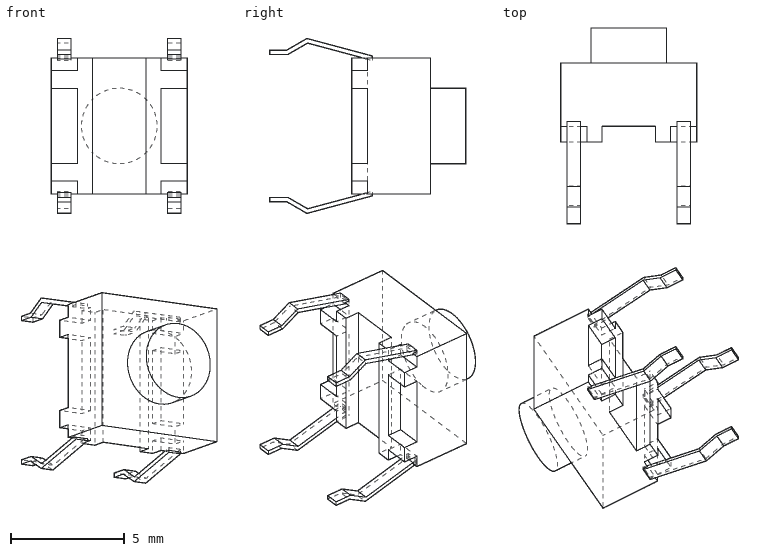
import cadquery as cq
import math

overall_depth = 8.63
overall_height = 7.71

housing_side = 6.0
housing_depth = 3.48
half_side = housing_side / 2

button_diameter = 3.33
button_height = 1.545

recess_depth = 0.69
channel_width = 2.35
pocket_width = 1.16
side_pocket_height = 3.3
corner_notch_height = 0.57

lead_width = 0.6
lead_thickness = 0.2
lead_spacing = 4.83
lead_start = 2.57
lead_peak = 5.445
lead_end = overall_depth - button_height
lead_rise_angle = 15
lead_drop_angle = 30
lead_peak_z = overall_height / 2
lead_tip_z = 3.34


def front_recess(width, height, x, z):
    """Block that cuts a recess into the housing front, centred on x and z."""
    return cq.Workplane("XY").box(width, recess_depth, height).translate(
        (x, recess_depth / 2 - housing_depth, z)
    )


def make_lead(x, z_side):
    """Bent strip lead at x, on the upper (z_side = 1) or lower (-1) face."""
    rise = math.tan(math.radians(lead_rise_angle))
    drop = math.tan(math.radians(lead_drop_angle))
    start_z = lead_peak_z - (lead_peak - lead_start) * rise
    bend = lead_peak + (lead_peak_z - lead_tip_z) / drop

    def inner_point(forward, z, angle_before, angle_after):
        mean_angle = math.radians(angle_before + angle_after) / 2
        half_turn = math.radians(angle_before - angle_after) / 2
        shift = lead_thickness / math.cos(half_turn)
        return (forward + shift * math.sin(mean_angle), z - shift * math.cos(mean_angle))

    inner_peak = inner_point(lead_peak, lead_peak_z, lead_rise_angle, -lead_drop_angle)
    inner_bend = inner_point(bend, lead_tip_z, -lead_drop_angle, 0)

    root_z = inner_peak[1] - (inner_peak[0] - lead_start) * rise

    outline = [
        (lead_start, root_z),
        (lead_start, start_z),
        (lead_peak, lead_peak_z),
        (bend, lead_tip_z),
        (lead_end, lead_tip_z),
        (lead_end, lead_tip_z - lead_thickness),
        inner_bend,
        inner_peak,
    ]
    return (
        cq.Workplane("YZ")
        .polyline([(-forward, z_side * z) for forward, z in outline])
        .close()
        .extrude(lead_width / 2, both=True)
        .translate((x, 0, 0))
    )


leads = [
    make_lead(x_side * lead_spacing / 2, z_side)
    for x_side in (-1, 1)
    for z_side in (-1, 1)
]


def make_housing():
    """Block with a central channel, side pockets, corner notches and lead seats."""
    body = cq.Workplane("XY").box(housing_side, housing_depth, housing_side)
    body = body.translate((0, -housing_depth / 2, 0))
    body = body.cut(front_recess(channel_width, housing_side, 0, 0))

    pocket_x = half_side - pocket_width / 2
    notch_z = half_side - corner_notch_height / 2
    for x_side in (-1, 1):
        body = body.cut(front_recess(pocket_width, side_pocket_height, x_side * pocket_x, 0))
        for z_side in (-1, 1):
            body = body.cut(
                front_recess(pocket_width, corner_notch_height, x_side * pocket_x, z_side * notch_z)
            )

    for lead in leads:
        body = body.cut(lead)
    return body


def make_button():
    """Plain cylinder standing on the rear face of the housing."""
    return cq.Workplane("XZ").circle(button_diameter / 2).extrude(-button_height)


housing = make_housing()
button = make_button()

result = cq.Compound.makeCompound(
    [housing.solids().val(), button.val(), *[lead.solids().val() for lead in leads]]
)